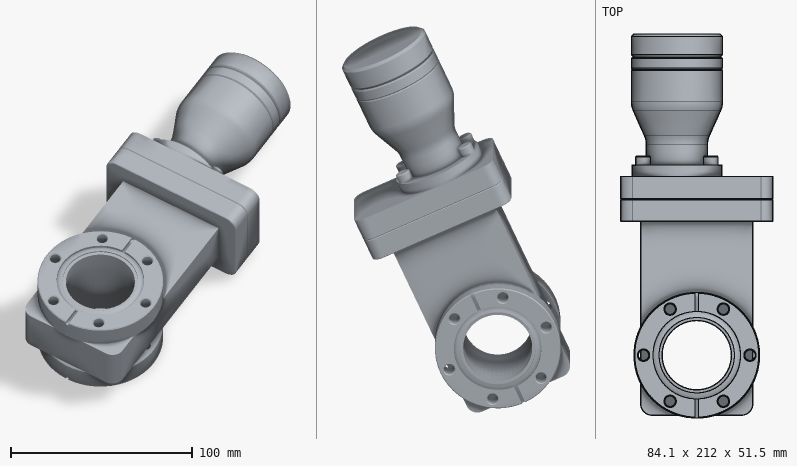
import cadquery as cq
import math

overall_y = 211.99
overall_z = 51.49

body_width = 62.0
body_thickness = 26.0
body_front_y = -33.2
body_corner_radius = 6.5

flange_diameter = 69.4
flange_chamfer = 0.5
bore_diameter = 38.1
recess_diameter = 48.3
recess_depth = 1.5
knife_diameter = 41.6
knife_drop = 0.6
knife_floor_drop = 1.4
bolt_count = 6
bolt_circle_diameter = 58.7
bolt_hole_diameter = 5.8
bolt_hole_chamfer = 0.5
bolt_hole_chamfer_angle = 90
leak_groove_width = 2.0
leak_groove_depth = 2.0

bonnet_width = 84.12
bonnet_height = 50.3
bonnet_corner_radius = 6.6
bonnet_front_y = 73.7
bonnet_seam_y = 86.0
bonnet_back_y = 98.7
bonnet_chamfer = 0.4

actuator_x = -10.95
mount_radius = 24.75
mount_back_y = 104.8
neck_radius = 16.95
knob_radius = 25.2
cone_start_y = 118.9
cone_end_y = 137.3
cone_blend_radius = 12.0
collar_start_y = 157.7
collar_end_y = 164.3
collar_chamfer = 0.65
cap_chamfer = 1.5

screw_head_diameter = 8.2
screw_head_height = 5.0
screw_head_chamfer = 0.5
screw_spacing_x = 37.4
screw_spacing_z = 17.5

flange_radius = flange_diameter / 2
body_top_z = body_thickness / 2
flange_top_z = overall_z / 2
flange_thickness = flange_top_z - body_top_z
knob_end_y = overall_y - flange_radius


def make_body():
    length = bonnet_front_y - body_front_y
    block = cq.Workplane("XY").box(body_width, length, body_thickness)
    block = block.translate((0, body_front_y + length / 2, 0))
    return block.edges("|Z and <Y").fillet(body_corner_radius)


def make_knife_recess():
    """Ring-shaped recess whose floor rises to a sharp sealing edge around the bore."""
    profile = [
        (0, flange_top_z),
        (recess_diameter / 2, flange_top_z),
        (recess_diameter / 2, flange_top_z - recess_depth),
        (knife_diameter / 2, flange_top_z - knife_drop),
        (knife_diameter / 2, flange_top_z - knife_floor_drop),
        (0, flange_top_z - knife_floor_drop),
    ]
    return cq.Workplane("XZ").polyline(profile).close().revolve(360, (0, 0), (0, 1))


def make_top_flange():
    disc = cq.Workplane("XY").workplane(offset=body_top_z).circle(flange_radius).extrude(flange_thickness)
    disc = disc.edges().chamfer(flange_chamfer)
    disc = (
        disc.faces(">Z")
        .workplane()
        .polarArray(bolt_circle_diameter / 2, 0, 360, bolt_count)
        .cskHole(bolt_hole_diameter, bolt_hole_diameter + 2 * bolt_hole_chamfer, bolt_hole_chamfer_angle)
    )
    leak_groove = cq.Workplane("XY").box(leak_groove_width, flange_diameter, leak_groove_depth)
    leak_groove = leak_groove.translate((0, 0, flange_top_z - leak_groove_depth / 2))
    seal_zone = cq.Workplane("XY").circle(recess_diameter / 2).extrude(flange_top_z)
    return disc.cut(leak_groove.cut(seal_zone)).cut(make_knife_recess())


def make_bonnet_plate(front_y, back_y, chamfered_faces):
    thickness = back_y - front_y
    plate = cq.Workplane("XY").box(bonnet_width, thickness, bonnet_height)
    plate = plate.translate((0, front_y + thickness / 2, 0))
    plate = plate.edges("|Y").fillet(bonnet_corner_radius)
    return plate.faces(chamfered_faces).edges().chamfer(bonnet_chamfer)


def make_actuator():
    cone_angle = math.atan2(knob_radius - neck_radius, cone_end_y - cone_start_y)
    tangent_length = cone_blend_radius * math.tan(cone_angle / 2)
    blend_rise = tangent_length * math.sin(cone_angle)
    blend_run = tangent_length * math.cos(cone_angle)

    outline = (
        cq.Workplane("XY")
        .moveTo(0, bonnet_back_y)
        .lineTo(mount_radius, bonnet_back_y)
        .lineTo(mount_radius, mount_back_y)
        .lineTo(neck_radius, mount_back_y)
        .lineTo(neck_radius, cone_start_y - tangent_length)
        .tangentArcPoint((neck_radius + blend_rise, cone_start_y + blend_run), relative=False)
        .lineTo(knob_radius - blend_rise, cone_end_y - blend_run)
        .tangentArcPoint((knob_radius, cone_end_y + tangent_length), relative=False)
    )
    knob_points = [
        (knob_radius, collar_start_y - collar_chamfer),
        (knob_radius - collar_chamfer, collar_start_y),
        (knob_radius, collar_start_y + collar_chamfer),
        (knob_radius, collar_end_y - collar_chamfer),
        (knob_radius - collar_chamfer, collar_end_y),
        (knob_radius - cap_chamfer, collar_end_y),
        (knob_radius, collar_end_y + cap_chamfer),
        (knob_radius, knob_end_y - cap_chamfer),
        (knob_radius - cap_chamfer, knob_end_y),
        (0, knob_end_y),
    ]
    for x, y in knob_points:
        outline = outline.lineTo(x, y)
    turned = outline.close().revolve(360, (0, 0), (0, 1))
    return turned.translate((actuator_x, 0, 0))


def make_screw_heads():
    heads = (
        cq.Workplane("XZ", origin=(actuator_x, mount_back_y, 0))
        .rarray(screw_spacing_x, screw_spacing_z, 2, 2)
        .circle(screw_head_diameter / 2)
        .extrude(-screw_head_height)
    )
    return heads.faces(">Y").edges().chamfer(screw_head_chamfer)


top_flange = make_top_flange()
bore = cq.Workplane("XY").workplane(offset=-flange_top_z).circle(bore_diameter / 2).extrude(overall_z)

result = (
    make_body()
    .union(top_flange)
    .union(top_flange.mirror("XY"))
    .union(make_bonnet_plate(bonnet_front_y, bonnet_seam_y, "<Y or >Y"))
    .union(make_bonnet_plate(bonnet_seam_y, bonnet_back_y, "<Y"))
    .union(make_actuator())
    .union(make_screw_heads())
    .cut(bore)
)